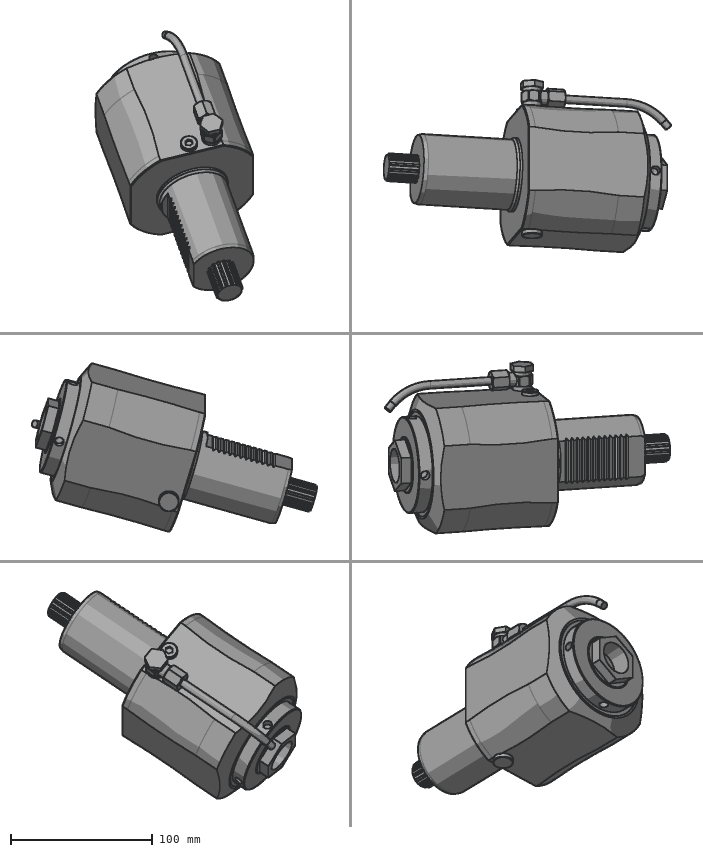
import cadquery as cq
import math

overall_length = 203.5
spline_end = 92.8
nozzle_end = spline_end - overall_length

body_width = 91.0
body_half = body_width / 2
body_radius = 51.0
body_front = -89.7
nose_radius = 38.9
nose_back = -83.8
waist_front = -64.9
waist_back = -4.7
waist_depth = 0.8
body_edge_chamfer = 0.6
seal_gap_radius = 37.2
seal_gap_depth = 0.5

collar_front = -99.3
collar_radius = 34.2
collar_chamfer = 0.6
spanner_hole_count = 4
spanner_hole_x = -94.5
spanner_hole_diameter = 6.3
spanner_hole_depth = 6.1
drill_point_angle = 118.0

nut_front = -107.2
nut_across_flats = 32.1
nut_bore_radius = 12.0
nut_bore_depth = 14.2
nut_seat_radius = 20.1
nut_seat_face_radius = 19.3
nut_seat_height = 0.5

shank_radius = 25.0
shank_end = 71.0
shank_chamfer_length = 2.8
shank_chamfer_depth = 0.8
flange_radius = 26.2
flange_thickness = 1.8
flange_taper_end = 3.7

flat_depth = 4.9
flat_y = -(shank_radius - flat_depth)
flat_start = 7.7
flat_edge_chamfer = 0.8
first_groove_x = 13.5
last_groove_x = 57.5
groove_count = 12
groove_pitch = (last_groove_x - first_groove_x) / (groove_count - 1)
groove_depth = 1.2

spline_tip_radius = 10.0
spline_root_radius = 8.3
spline_teeth = 14
spline_tooth_end = 91.5
spline_pilot_radius = 9.0
tooth_tip_fraction = 0.3
tooth_root_fraction = 0.65

fitting_x = -9.0
fitting_y = 16.9
pipe_z = 52.9
stem_radius = 6.7
cap_top = body_half + 18.1
cap_thickness = 4.5
cap_across_flats = 14.5
elbow_across_flats = 13.8
elbow_corner_radius = 7.7
elbow_bottom = 48.6
elbow_top = 56.4
neck_radius = 5.0
gland_front = -32.0
gland_back = -19.5
gland_across_flats = 12.5
fitting_chamfer = 0.8

pipe_radius = 2.8
bend_radius = 39.3
bend_angle = 45.0
bend_tilt = 14.0
nozzle_length = 5.7
nozzle_radius = 2.6

top_plug_x = -7.7
top_plug_radius = 6.0
top_plug_height = 2.6
top_plug_key = 4.9
top_plug_key_depth = 1.8
bottom_plug_radius = 7.1
bottom_plug_height = 3.3
plug_chamfer = 0.5


def x_cylinder(x_start, x_end, radius, y=0.0, z=0.0):
    """Cylinder along X between two stations."""
    return cq.Workplane("YZ", origin=(x_start, y, z)).circle(radius).extrude(x_end - x_start)


def z_cylinder(x, y, z_start, z_end, radius):
    """Cylinder along Z between two heights."""
    return cq.Workplane("XY", origin=(x, y, z_start)).circle(radius).extrude(z_end - z_start)


def hexagon(plane, across_flats, height, turn=0.0):
    """Hexagonal prism on a plane; a turn of zero puts a corner on the local x direction."""
    corner_diameter = across_flats / math.cos(math.pi / 6)
    turned_plane = plane.transformed(rotate=(0, 0, turn))
    return turned_plane.polygon(6, corner_diameter).extrude(height)


def turned(profile):
    """Revolve an (x, radius) profile about the X axis."""
    return profile.close().revolve(360, (0, 0, 0), (1, 0, 0))


def make_body():
    waist_mid = ((waist_front + waist_back) / 2, body_radius - waist_depth)
    barrel = turned(
        cq.Workplane("XY")
        .moveTo(body_front, 0)
        .lineTo(body_front, nose_radius)
        .lineTo(nose_back, body_radius)
        .lineTo(waist_front, body_radius)
        .threePointArc(waist_mid, (waist_back, body_radius))
        .lineTo(0, body_radius)
        .lineTo(0, 0)
    )
    block = cq.Workplane("XY").box(-body_front, body_width, body_width)
    body = barrel.intersect(block.translate((body_front / 2, 0, 0)))
    body = body.faces(">X").chamfer(body_edge_chamfer)
    return body.cut(x_cylinder(body_front, body_front + seal_gap_depth, seal_gap_radius))


def spanner_hole():
    """Radial blind hole with a drill point, entering from +Z."""
    radius = spanner_hole_diameter / 2
    floor = collar_radius - spanner_hole_depth
    point = floor - radius / math.tan(math.radians(drill_point_angle / 2))
    return (
        cq.Workplane("XZ")
        .polyline([(0, point), (radius, floor), (radius, collar_radius), (0, collar_radius)])
        .close()
        .revolve(360, (0, 0, 0), (0, 1, 0))
        .translate((spanner_hole_x, 0, 0))
    )


def make_collar():
    collar = x_cylinder(collar_front, body_front + seal_gap_depth, collar_radius)
    collar = collar.faces("<X").chamfer(collar_chamfer)
    for index in range(spanner_hole_count):
        angle = index * 360 / spanner_hole_count
        collar = collar.cut(spanner_hole().rotate((0, 0, 0), (1, 0, 0), angle))
    seat_face = collar_front - nut_seat_height
    seat = turned(
        cq.Workplane("XY")
        .moveTo(collar_front, 0)
        .lineTo(collar_front, nut_seat_radius)
        .lineTo(seat_face, nut_seat_face_radius)
        .lineTo(seat_face, 0)
    )
    nut_plane = cq.Workplane("YZ", origin=(nut_front, 0, 0))
    nut = hexagon(nut_plane, nut_across_flats, collar_front - nut_front, 90)
    bore = x_cylinder(nut_front, nut_front + nut_bore_depth, nut_bore_radius)
    return collar.union(seat).union(nut).cut(bore)


def make_flat_cutter():
    """Material removed for the clamping flat and its V grooves."""
    slope_run = flat_depth + flat_edge_chamfer
    outer_y = -shank_radius
    edge_y = outer_y + flat_edge_chamfer
    cutter_profile = [
        (flat_start, flat_y),
        (flat_start, edge_y),
        (flat_start - slope_run, edge_y - slope_run),
        (shank_end, edge_y - slope_run),
        (shank_end, flat_y),
    ]
    cutter = cq.Workplane("XY").polyline(cutter_profile).close().extrude(shank_radius, both=True)
    for index in range(groove_count):
        x = first_groove_x + index * groove_pitch
        groove = (
            cq.Workplane("XY")
            .polyline([(x - groove_depth, flat_y), (x, flat_y + groove_depth), (x + groove_depth, flat_y)])
            .close()
            .extrude(shank_radius, both=True)
        )
        cutter = cutter.union(groove)
    return cutter.intersect(x_cylinder(flange_taper_end, shank_end, 2 * shank_radius))


def make_shank():
    shank = turned(
        cq.Workplane("XY")
        .moveTo(0, 0)
        .lineTo(0, flange_radius)
        .lineTo(flange_thickness, flange_radius)
        .lineTo(flange_taper_end, shank_radius)
        .lineTo(shank_end - shank_chamfer_length, shank_radius)
        .lineTo(shank_end, shank_radius - shank_chamfer_depth)
        .lineTo(shank_end, 0)
    )
    return shank.cut(make_flat_cutter())


def make_spline():
    pitch_angle = 2 * math.pi / spline_teeth
    corners = [
        (spline_root_radius, -tooth_root_fraction / 2),
        (spline_tip_radius, -tooth_tip_fraction / 2),
        (spline_tip_radius, tooth_tip_fraction / 2),
        (spline_root_radius, tooth_root_fraction / 2),
    ]
    outline = []
    for tooth in range(spline_teeth):
        for radius, offset in corners:
            angle = (tooth + offset) * pitch_angle
            outline.append((radius * math.cos(angle), radius * math.sin(angle)))
    teeth = (
        cq.Workplane("YZ", origin=(shank_end, 0, 0))
        .polyline(outline)
        .close()
        .extrude(spline_tooth_end - shank_end)
    )
    return teeth.union(x_cylinder(shank_end, spline_end, spline_pilot_radius))


def make_fitting():
    stem = z_cylinder(fitting_x, fitting_y, body_half, cap_top, stem_radius)
    cap_plane = cq.Workplane("XY", origin=(fitting_x, fitting_y, cap_top - cap_thickness))
    cap = hexagon(cap_plane, cap_across_flats, cap_thickness, 90)
    elbow_plane = cq.Workplane("XY", origin=(fitting_x, fitting_y, elbow_bottom))
    elbow = hexagon(elbow_plane, elbow_across_flats, elbow_top - elbow_bottom)
    elbow_round = z_cylinder(fitting_x, fitting_y, elbow_bottom, elbow_top, elbow_corner_radius)
    elbow = elbow.intersect(elbow_round.faces("|Z").chamfer(fitting_chamfer))
    neck = x_cylinder(gland_back, fitting_x, neck_radius, fitting_y, pipe_z)
    gland_plane = cq.Workplane("YZ", origin=(gland_front, fitting_y, pipe_z))
    gland = hexagon(gland_plane, gland_across_flats, gland_back - gland_front, 90)
    gland_corner_radius = gland_across_flats / 2 / math.cos(math.pi / 6)
    gland_round = x_cylinder(gland_front, gland_back, gland_corner_radius, fitting_y, pipe_z)
    gland = gland.intersect(gland_round.faces("|X").chamfer(fitting_chamfer))
    return stem.union(cap).union(elbow).union(neck).union(gland)


def make_pipe():
    """Straight pipe, bend and nozzle, drawn downward and then tilted toward the spindle."""
    bend = math.radians(bend_angle)
    nozzle_reach = nozzle_length * math.cos(bend) + nozzle_radius * math.sin(bend)
    bend_start = nozzle_end + nozzle_reach + bend_radius * math.sin(bend)

    def arc_point(angle):
        return (bend_start - bend_radius * math.sin(angle), -bend_radius * (1 - math.cos(angle)))

    arc_end = arc_point(bend)
    path = (
        cq.Workplane("XZ")
        .moveTo(gland_front, 0)
        .lineTo(bend_start, 0)
        .threePointArc(arc_point(bend / 2), arc_end)
    )
    pipe = cq.Workplane("YZ", origin=(gland_front, 0, 0)).circle(pipe_radius).sweep(path)
    nozzle_plane = cq.Plane(
        origin=(arc_end[0], 0, arc_end[1]),
        xDir=(0, 1, 0),
        normal=(-math.cos(bend), 0, -math.sin(bend)),
    )
    nozzle = cq.Workplane(nozzle_plane).circle(nozzle_radius).extrude(nozzle_length)
    pipe = pipe.union(nozzle).rotate((0, 0, 0), (1, 0, 0), -bend_tilt)
    return pipe.translate((0, fitting_y, pipe_z))


def make_plugs():
    top_face = body_half + top_plug_height
    top_plug = z_cylinder(top_plug_x, 0, body_half, top_face, top_plug_radius)
    top_plug = top_plug.faces(">Z").chamfer(plug_chamfer)
    key_plane = cq.Workplane("XY", origin=(top_plug_x, 0, top_face))
    top_plug = top_plug.cut(hexagon(key_plane, top_plug_key, -top_plug_key_depth))
    bottom_face = -body_half - bottom_plug_height
    bottom_plug = z_cylinder(fitting_x, fitting_y, bottom_face, -body_half, bottom_plug_radius)
    bottom_plug = bottom_plug.faces("<Z").chamfer(plug_chamfer)
    return top_plug.union(bottom_plug)


result = make_body()
for component in (make_collar(), make_shank(), make_spline(), make_fitting(), make_pipe(), make_plugs()):
    result = result.union(component)